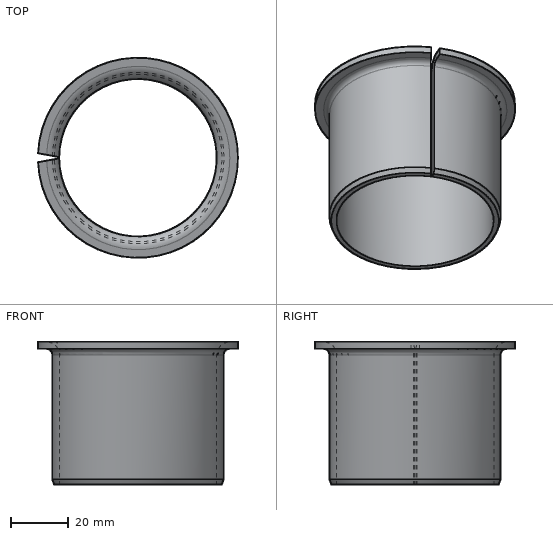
import cadquery as cq
import math

flange_radius = 35.0
height = 50.0
outer_diameter = 60.0
wall = 2.5
bend_outer_radius = 2.0
chamfer_height = 1.9
chamfer_depth = 0.7
bore_gap = 0.35
rim_gap = 3.1
rim_clearance = 0.7

outer_radius = outer_diameter / 2
bore_radius = outer_radius - wall
bend_inner_radius = bend_outer_radius + wall
cut_radius = flange_radius + rim_clearance
flange_bottom = height - wall
bend_center_radius = outer_radius + bend_outer_radius
bend_center_z = flange_bottom - bend_outer_radius
diagonal = math.sqrt(0.5)


def bend_midpoint(radius):
    """Middle of a quarter arc joining the sleeve to the flange."""
    return (bend_center_radius - radius * diagonal, bend_center_z + radius * diagonal)


def make_sleeve():
    """Revolve the constant-thickness wall with its chamfered bottom edge."""
    return (
        cq.Workplane("XZ")
        .moveTo(bore_radius, 0)
        .lineTo(outer_radius - chamfer_depth, 0)
        .lineTo(outer_radius, chamfer_height)
        .lineTo(outer_radius, bend_center_z)
        .threePointArc(bend_midpoint(bend_outer_radius), (bend_center_radius, flange_bottom))
        .lineTo(flange_radius, flange_bottom)
        .lineTo(flange_radius, height)
        .lineTo(bend_center_radius, height)
        .threePointArc(bend_midpoint(bend_inner_radius), (bore_radius, bend_center_z))
        .close()
        .revolve(360, (0, 0, 0), (0, 1, 0))
        .rotate((0, 0, 0), (0, 0, 1), 180)
    )


def make_slit():
    """Full-height wedge through the -X side, narrow at the bore and wide at the rim."""
    slope = (rim_gap - bore_gap) / (flange_radius - bore_radius)
    apex_radius = bore_radius - bore_gap / slope
    half_width = slope * (cut_radius - apex_radius) / 2
    return (
        cq.Workplane("XY")
        .polyline([(-apex_radius, 0), (-cut_radius, half_width), (-cut_radius, -half_width)])
        .close()
        .extrude(height)
    )


result = make_sleeve().cut(make_slit())